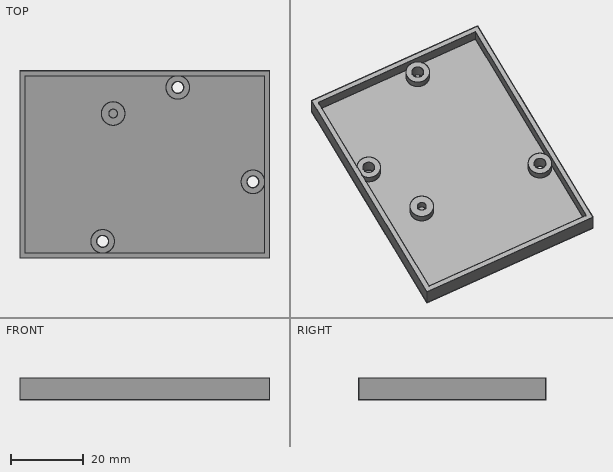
import cadquery as cq

length = 68.8
width = 51.6
height = 6.0
wall = 1.4
floor = 2.0

boss_diameter = 6.5
boss_height = 2.4
screw_hole_diameter = 3.2
pilot_hole_diameter = 2.4
screw_boss_centres = [(9.1, 21.2), (29.8, -4.8), (-11.6, -21.2)]
pilot_boss_centre = (-8.7, 14.0)

boss_top = floor + boss_height


def make_tray():
    """Open-topped rectangular tray with a flat floor."""
    body = cq.Workplane("XY").box(length, width, height, centered=(True, True, False))
    cavity = (
        cq.Workplane("XY", origin=(0, 0, floor))
        .rect(length - 2 * wall, width - 2 * wall)
        .extrude(height - floor)
    )
    return body.cut(cavity)


def cylinders(centres, diameter, bottom, top):
    """Upright cylinders at the given centres between two Z levels."""
    return (
        cq.Workplane("XY", origin=(0, 0, bottom))
        .pushPoints(centres)
        .circle(diameter / 2)
        .extrude(top - bottom)
    )


tray = make_tray()
bosses = cylinders(screw_boss_centres + [pilot_boss_centre], boss_diameter, 0, boss_top)
screw_holes = cylinders(screw_boss_centres, screw_hole_diameter, 0, boss_top)
pilot_hole = cylinders([pilot_boss_centre], pilot_hole_diameter, floor, boss_top)

result = tray.union(bosses).cut(screw_holes).cut(pilot_hole)